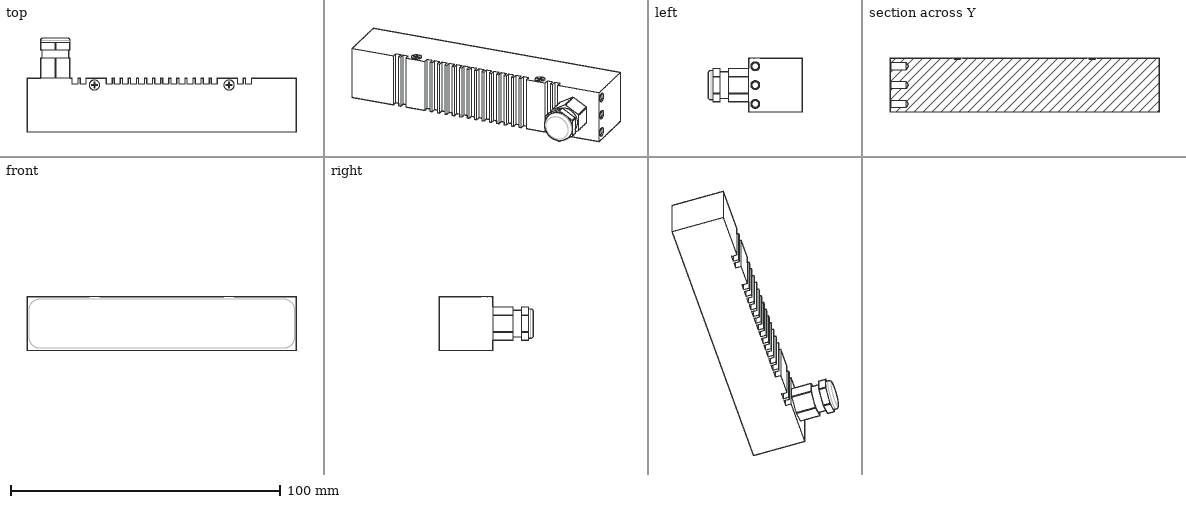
import cadquery as cq
import math

length = 100.0
depth = 20.0
height = 20.0
rear = depth / 2
top = height / 2

groove_width = 2.1
groove_depth = 2.1
groove_pitch = 3.0
middle_groove_count = 14
side_groove_count = 2
side_group_center = 30.7

panel_margin_side = 0.7
panel_margin_top = 0.9
panel_corner_radius = 4.0
panel_thickness = 1.0

hole_rear_offset = 2.5
hole_spacing = 7.0
hole_count = 3
hole_diameter = 2.5
hole_mouth_diameter = 3.3
hole_depth = 6.0
drill_point_angle = 118.0

screw_spacing = 50.0
screw_rear_offset = 2.5
screw_diameter = 3.8
screw_proud = 0.1
cross_length = 2.2
cross_width = 0.4
cross_depth = 0.5

gland_x = -39.5
hex_across_flats = 11.0
hex_turned_diameter = 12.5
base_end = 7.5
nut_start = 10.5
nut_end = 13.2
gland_end = 15.0
neck_diameter = 10.0
cap_diameter = 11.0
cap_rounding = 1.0


def groove_group(center_x, count):
    """Evenly spaced grooves running the full height of the rear face."""
    return (
        cq.Workplane("XY")
        .center(center_x, rear)
        .rarray(groove_pitch, 1, count, 1)
        .rect(groove_width, 2 * groove_depth)
        .extrude(height / 2, both=True)
    )


def mounting_hole(z):
    """Blind hole along +X with a countersunk mouth and a conical drill point."""
    radius = hole_diameter / 2
    mouth_radius = hole_mouth_diameter / 2
    point_depth = radius / math.tan(math.radians(drill_point_angle / 2))
    profile = [
        (0, 0),
        (0, mouth_radius),
        (mouth_radius - radius, radius),
        (hole_depth, radius),
        (hole_depth + point_depth, 0),
    ]
    hole = cq.Workplane("XY").polyline(profile).close().revolve(360, (0, 0, 0), (1, 0, 0))
    return hole.translate((-length / 2, rear - hole_rear_offset, z))


def screw_head():
    """Proud part of a screw head, hanging down from its top surface."""
    return cq.Workplane("XY").circle(screw_diameter / 2).extrude(-screw_proud)


def cross_recess():
    """Two crossed slots sunk from the top surface of a screw head."""
    slot = cq.Workplane("XY").rect(cross_length, cross_width).extrude(-cross_depth)
    return slot.union(slot.rotate((0, 0, 0), (0, 0, 1), 90))


def rear_plane(start):
    """Plane parallel to the rear face, on the gland axis, facing +Y."""
    return cq.Workplane(cq.Plane((gland_x, rear + start, 0), xDir=(0, 0, 1), normal=(0, 1, 0)))


def hexagon(start, end):
    """Hexagonal prism with two corners pointing up and down, its corners turned down slightly."""
    across_corners = hex_across_flats / math.cos(math.pi / 6)
    prism = rear_plane(start).polygon(6, across_corners).extrude(end - start)
    return prism.intersect(rear_plane(start).circle(hex_turned_diameter / 2).extrude(end - start))


def cable_gland():
    """Hexagonal base, round neck, hexagonal nut and rounded end cap, stacked along +Y."""
    base = hexagon(0, base_end)
    nut = hexagon(nut_start, nut_end)
    neck = rear_plane(base_end).circle(neck_diameter / 2).extrude(nut_start - base_end)
    cap = rear_plane(nut_end).circle(cap_diameter / 2).extrude(gland_end - nut_end)
    cap = cap.faces(">Y").edges().fillet(cap_rounding)
    return base.union(neck).union(nut).union(cap)


def front_panel():
    """Thin panel with rounded corners, flush with the front face."""
    panel = cq.Workplane("XY").box(
        length - 2 * panel_margin_side, panel_thickness, height - 2 * panel_margin_top
    )
    panel = panel.edges("|Y").fillet(panel_corner_radius)
    return panel.translate((0, (panel_thickness - depth) / 2, 0))


body = cq.Workplane("XY").box(length, depth, height)

body = body.cut(groove_group(0, middle_groove_count))
for side in (-1, 1):
    body = body.cut(groove_group(side * side_group_center, side_groove_count))

for i in range(hole_count):
    body = body.cut(mounting_hole((i - (hole_count - 1) / 2) * hole_spacing))

for side in (-1, 1):
    head_top = (side * screw_spacing / 2, rear - screw_rear_offset, top + screw_proud)
    body = body.union(screw_head().translate(head_top))
    body = body.cut(cross_recess().translate(head_top))

body = body.union(cable_gland())

panel = front_panel()
result = body.cut(panel).union(panel, clean=False)